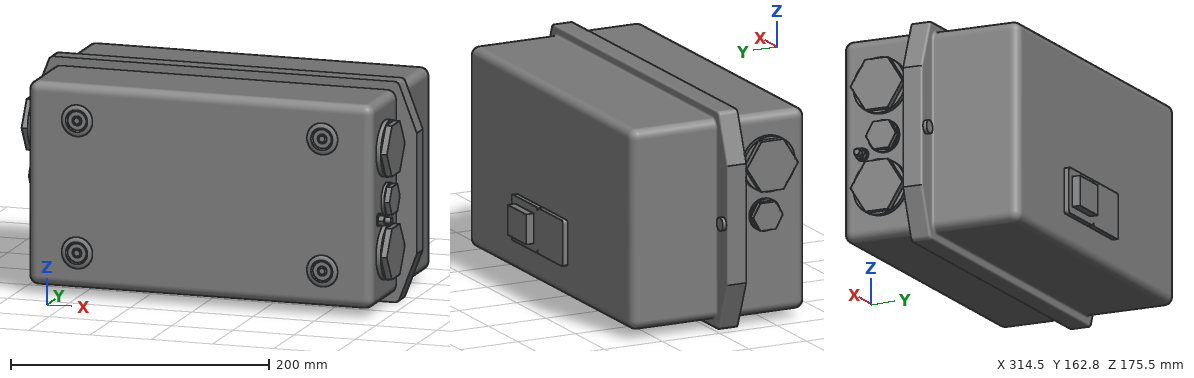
import cadquery as cq
import math


flange_length = 314.5
flange_height = 175.5
flange_thickness = 16.5
flange_end_height = 96.0
flange_top_length = 284.0
flange_corner_radius = 4.5
flange_back_radius = 2.0

base_length = 280.5
base_height = 161.5
base_depth = 60.5
lid_length = 278.0
lid_height = 161.0
lid_depth = 74.0
box_edge_radius = 7.2
lid_foot_radius = 2.0

foot_spacing_x = 200.0
foot_spacing_z = 105.0
foot_radius = 12.5
foot_crest_radius = 8.8
foot_recess_radius = 7.5
foot_height = 1.3
foot_floor_height = 0.3
foot_pin_radius = 3.8
foot_pin_tip_radius = 2.5
foot_pin_height = 0.8

large_plug_y = -27.0
large_plug_z = 41.0
large_plug_radius = 22.3
large_plug_flats = 40.3
large_plug_collar = 3.8
large_plug_head = 5.0
small_plug_y = -24.2
small_plug_radius = 13.0
small_plug_flats = 22.0
small_plug_collar = 2.5
small_plug_head = 4.5

stud_y = -43.0
stud_z = -12.5
stud_radius = 2.5
stud_length = 10.7
washer_radius = 5.0
washer_thickness = 1.0
nut_flats = 8.0
nut_thickness = 4.7

screw_spacing = 300.7
screw_radius = 5.5
screw_height = 3.0

plate_length = 43.7
plate_height = 36.8
plate_thickness = 4.0
plate_corner_radius = 2.2
plate_joint_x = 13.8
plate_z = -36.5
button_length = 31.5
button_height = 24.2
button_thickness = 6.5

overlap = 1.5

lid_back = flange_thickness + lid_depth


def block(length, height, y_start, y_end, x=0, z=0):
    """Rectangular block centred on (x, z), between two Y positions."""
    return (
        cq.Workplane("XY")
        .box(length, y_end - y_start, height)
        .translate((x, (y_start + y_end) / 2, z))
    )


def flange():
    half_length = flange_length / 2
    half_height = flange_height / 2
    half_end = flange_end_height / 2
    half_top = flange_top_length / 2
    outline = [
        (half_length, half_end),
        (half_top, half_height),
        (-half_top, half_height),
        (-half_length, half_end),
        (-half_length, -half_end),
        (-half_top, -half_height),
        (half_top, -half_height),
        (half_length, -half_end),
    ]
    plate = cq.Workplane("XZ").polyline(outline).close().extrude(-flange_thickness)
    top_corners = plate.faces(">Z").edges("|Y")
    bottom_corners = plate.faces("<Z").edges("|Y")
    plate = plate.newObject(top_corners.vals() + bottom_corners.vals()).fillet(flange_corner_radius)
    return plate.faces(">Y").edges().fillet(flange_back_radius)


def base():
    box = block(base_length, base_height, -base_depth, 0)
    return box.edges("|Y or <Y").fillet(box_edge_radius)


def lid():
    box = block(lid_length, lid_height, flange_thickness, lid_back)
    return box.edges("|Y or >Y").fillet(box_edge_radius)


def blend_lid_foot(body):
    """Concave fillet where the lid walls meet the back of the flange."""
    margin = lid_foot_radius / 2
    reach_x = lid_length / 2 + margin
    reach_z = lid_height / 2 + margin
    lid_outline = cq.selectors.BoxSelector(
        (-reach_x, flange_thickness - margin, -reach_z), (reach_x, flange_thickness + margin, reach_z)
    )
    return body.edges(lid_outline).fillet(lid_foot_radius)


def foot(x, z):
    """Rounded ring with a shallow recess and a tapered pin in the middle."""
    flank_width = foot_radius - foot_crest_radius
    flank_radius = (flank_width**2 + foot_height**2) / (2 * foot_height)
    half_angle = math.asin(flank_width / flank_radius) / 2
    arc_mid = (
        foot_crest_radius + flank_radius * math.sin(half_angle),
        foot_height - flank_radius * (1 - math.cos(half_angle)),
    )
    profile = (
        cq.Workplane("XY")
        .moveTo(0, -overlap)
        .lineTo(foot_radius, -overlap)
        .lineTo(foot_radius, 0)
        .threePointArc(arc_mid, (foot_crest_radius, foot_height))
        .lineTo(foot_recess_radius, foot_floor_height)
        .lineTo(foot_pin_radius, foot_floor_height)
        .lineTo(foot_pin_tip_radius, foot_pin_height)
        .lineTo(0, foot_pin_height)
        .close()
    )
    ring = profile.revolve(360, (0, 0, 0), (0, 1, 0))
    return ring.rotate((0, 0, 0), (0, 0, 1), 180).translate((x, -base_depth, z))


def end_plane(side, y, z, height):
    """Workplane facing outwards at a height above one end of the base."""
    origin = (side * (base_length / 2 + height), y, z)
    return cq.Workplane(cq.Plane(origin=origin, xDir=(0, 1, 0), normal=(side, 0, 0)))


def end_disc(side, y, z, start, end, radius):
    """Disc along X on one end of the base; start and end are heights above it."""
    return end_plane(side, y, z, start).circle(radius).extrude(end - start)


def end_hexagon(side, y, z, start, end, radius, flats):
    """Hexagon along X with its corners on a circle and two flats facing +Z and -Z."""
    half_flats = flats / 2
    half_edge = math.sqrt(radius**2 - half_flats**2)
    corners = [
        (radius, 0),
        (half_edge, half_flats),
        (-half_edge, half_flats),
        (-radius, 0),
        (-half_edge, -half_flats),
        (half_edge, -half_flats),
    ]
    return end_plane(side, y, z, start).polyline(corners).close().extrude(end - start)


def plug(side, y, z, radius, flats, collar, head):
    disc = end_disc(side, y, z, -overlap, collar, radius)
    return disc.union(end_hexagon(side, y, z, collar, collar + head, radius, flats))


def large_plug(side, z):
    return plug(
        side, large_plug_y, z,
        large_plug_radius, large_plug_flats, large_plug_collar, large_plug_head,
    )


def small_plug(side):
    return plug(
        side, small_plug_y, 0,
        small_plug_radius, small_plug_flats, small_plug_collar, small_plug_head,
    )


def earth_stud():
    nut_radius = nut_flats / math.sqrt(3)
    nut_top = washer_thickness + nut_thickness
    washer = end_disc(1, stud_y, stud_z, -overlap, washer_thickness, washer_radius)
    nut = end_hexagon(1, stud_y, stud_z, washer_thickness, nut_top, nut_radius, nut_flats)
    stud = end_disc(1, stud_y, stud_z, -overlap, stud_length, stud_radius)
    return washer.union(nut).union(stud)


def lid_screw(x):
    return (
        cq.Workplane("XZ", origin=(x, flange_thickness - overlap, 0))
        .circle(screw_radius)
        .extrude(-(screw_height + overlap))
    )


def back_plate(x):
    plate = block(plate_length, plate_height, lid_back - overlap, lid_back + plate_thickness, x, plate_z)
    return plate.edges("|Y").fillet(plate_corner_radius)


def button(x):
    plate_face = lid_back + plate_thickness
    return block(button_length, button_height, plate_face, plate_face + button_thickness, x, plate_z)


result = blend_lid_foot(flange().union(lid())).union(base())

for foot_x in (-foot_spacing_x / 2, foot_spacing_x / 2):
    for foot_z in (-foot_spacing_z / 2, foot_spacing_z / 2):
        result = result.union(foot(foot_x, foot_z))

for side in (-1, 1):
    result = result.union(large_plug(side, large_plug_z))
    result = result.union(small_plug(side))
    result = result.union(lid_screw(side * screw_spacing / 2))
    result = result.union(back_plate(plate_joint_x + side * plate_length / 2))

result = result.union(large_plug(1, -large_plug_z)).union(earth_stud())

result = result.union(button(plate_joint_x + plate_length / 2))